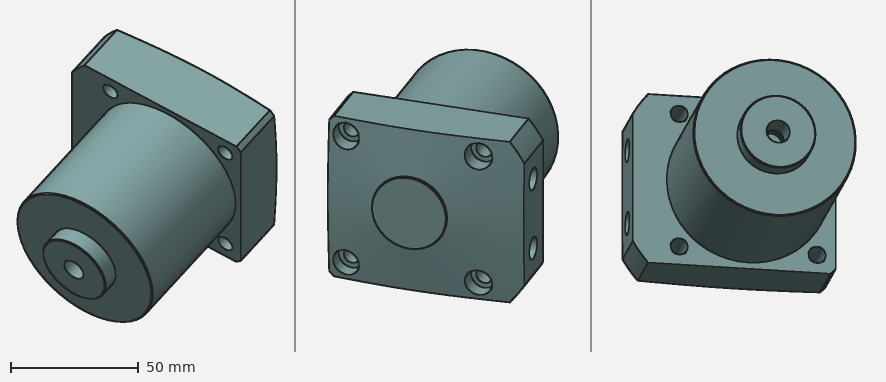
import cadquery as cq
import math

total_length = 92.0

block_left = 46.0
block_right = 35.0
block_height = 70.0
block_front = 27.9
left_corner_radius = 53.1
right_corner_radius = 48.0

pad_radius = 15.55
pad_chamfer = 0.3
pad_height = 0.9
cone_angle = 7.2

body_radius = 32.5
body_front = 84.8
body_chamfer = 0.5
rod_radius = 15.0
rod_chamfer = 0.4

bolt_offset = 27.5
bolt_diameter = 6.8
counterbore_diameter = 11.0
counterbore_floor = 11.0

port_depth_from_rear = 16.0
port_offset = 15.1
thread_radius = 4.6
thread_depth = 12.0
pilot_radius = 4.05
pilot_depth = 14.7


def cylinder(radius, rear, front, x=0, z=0):
    """Cylinder along Y between two distances from the rear face."""
    base = cq.Vector(x, -rear, z)
    return cq.Workplane(cq.Solid.makeCylinder(radius, front - rear, base, cq.Vector(0, -1, 0)))


def tapped_hole(mouth, direction):
    """Cutter for a blind threaded hole with a narrower pilot bore continuing below the thread."""
    point = cq.Vector(*mouth)
    axis = cq.Vector(*direction)
    thread = cq.Solid.makeCylinder(thread_radius, thread_depth, point, axis)
    pilot = cq.Solid.makeCylinder(pilot_radius, pilot_depth, point, axis)
    return cq.Workplane(thread).union(cq.Workplane(pilot))


def make_block():
    block = cq.Workplane("XY").box(
        block_left + block_right, block_front, block_height, centered=(False, False, True)
    ).translate((-block_left, -block_front, 0))

    left_limit = cylinder(left_corner_radius, 0, block_front)
    right_limit = cylinder(right_corner_radius, 0, block_front)
    right_half = cq.Workplane("XY").box(
        block_right, block_front, block_height, centered=(False, False, True)
    ).translate((0, -block_front, 0))
    left_half = block.cut(right_half).intersect(left_limit)
    block = left_half.union(right_half.intersect(right_limit))

    cone_edge = pad_height + math.tan(math.radians(cone_angle)) * (left_corner_radius - pad_radius)
    envelope = (
        cq.Workplane("XY")
        .moveTo(0, 0)
        .lineTo(pad_radius - pad_chamfer, 0)
        .lineTo(pad_radius, -pad_chamfer)
        .lineTo(pad_radius, -pad_height)
        .lineTo(left_corner_radius, -cone_edge)
        .lineTo(left_corner_radius, -block_front)
        .lineTo(0, -block_front)
        .close()
        .revolve(360, (0, 0, 0), (0, 1, 0))
    )
    return block.intersect(envelope)


def make_cylinder_body():
    body = cylinder(body_radius, block_front, body_front).faces("<Y").chamfer(body_chamfer)
    rod = cylinder(rod_radius, body_front, total_length).faces("<Y").chamfer(rod_chamfer)
    return body.union(rod)


result = make_block().union(make_cylinder_body())

for x in (-bolt_offset, bolt_offset):
    for z in (-bolt_offset, bolt_offset):
        result = result.cut(cylinder(bolt_diameter / 2, 0, block_front, x, z))
        result = result.cut(cylinder(counterbore_diameter / 2, 0, counterbore_floor, x, z))

for z in (-port_offset, port_offset):
    result = result.cut(tapped_hole((-block_left, -port_depth_from_rear, z), (1, 0, 0)))

result = result.cut(tapped_hole((0, -total_length, 0), (0, 1, 0)))